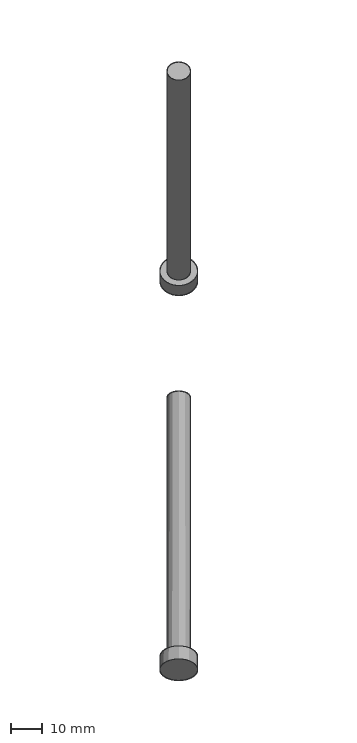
import cadquery as cq

total_length = 105.0
head_diameter = 12.0
head_height = 5.0
shaft_diameter = 7.5
shaft_length = total_length - head_height

head = cq.Workplane("XY").circle(head_diameter / 2).extrude(head_height)
shaft = (
    cq.Workplane("XY")
    .workplane(offset=head_height)
    .circle(shaft_diameter / 2)
    .extrude(shaft_length)
)

result = head.union(shaft)